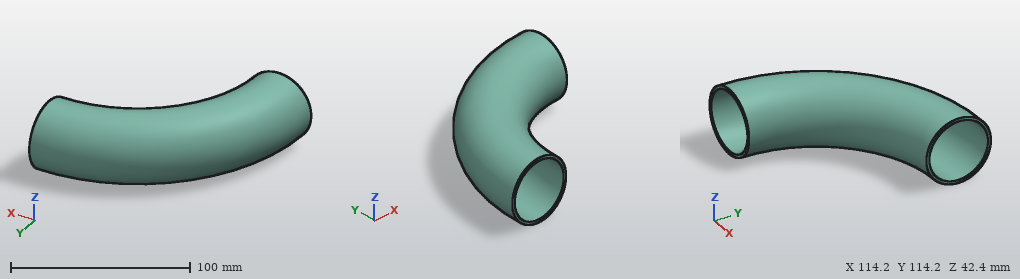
import cadquery as cq

overall_length = 114.2
outer_diameter = 42.4
inner_diameter = 38.4
bend_angle = 90.0

bend_radius = overall_length - outer_diameter / 2

pipe_section = (
    cq.Workplane("XZ")
    .center(-bend_radius, 0)
    .circle(outer_diameter / 2)
    .circle(inner_diameter / 2)
)

result = pipe_section.revolve(bend_angle, (bend_radius, 0, 0), (bend_radius, -1, 0))